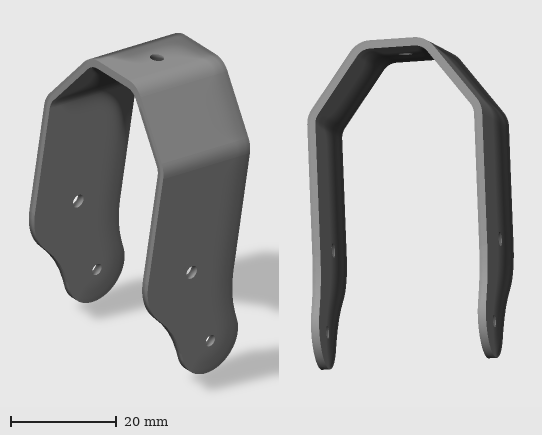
import cadquery as cq
import math


THICKNESS = 1.5875
INNER_BEND_RADIUS = 3.175
OUTER_BEND_RADIUS = INNER_BEND_RADIUS + THICKNESS

OUTER_WIDTH = 34.06
CROWN_WIDTH = 13.35
SHOULDER_DROP = 13.7
STRAP_WIDTH = 22.225
CROWN_HEIGHT = 38.1

STRAP_TILT = 9.5
NECK_TILT = 15.0
HOLE_SPACING = 18.23
LUG_RADIUS = 7.0
NECK_FILLET_RADIUS = 23.0

LUG_HOLE_DIAMETER = 2.38
PIVOT_HOLE_DIAMETER = 2.71
CROWN_HOLE_DIAMETER = 2.71

neck_angle = math.radians(NECK_TILT)
strap_angle = math.radians(STRAP_TILT)
neck_plane = cq.Plane(
    origin=(0, 0, 0),
    xDir=(0, math.cos(neck_angle), math.sin(neck_angle)),
    normal=(1, 0, 0),
)
strap_plane = cq.Plane(
    origin=neck_plane.toWorldCoords((0, HOLE_SPACING)).toTuple(),
    xDir=(1, 0, 0),
    normal=(0, -math.cos(strap_angle), math.sin(strap_angle)),
)
REACH = 2 * (CROWN_HEIGHT + HOLE_SPACING)


def point_on_circle(center, radius, angle):
    """Point at an angle in radians, measured from local x."""
    return (center[0] + radius * math.cos(angle), center[1] + radius * math.sin(angle))


def folded_strip():
    """Strip folded along four bends, with legs and width left oversize."""
    half_width = OUTER_WIDTH / 2
    half_crown = CROWN_WIDTH / 2
    shoulder_height = CROWN_HEIGHT - SHOULDER_DROP
    flank_angle = math.atan2(SHOULDER_DROP, half_width - half_crown)
    crown_setback = math.tan(flank_angle / 2)
    shoulder_setback = math.tan((math.pi / 2 - flank_angle) / 2)

    crown_bend = (
        half_crown - OUTER_BEND_RADIUS * crown_setback,
        CROWN_HEIGHT - OUTER_BEND_RADIUS,
    )
    shoulder_bend = (
        half_width - OUTER_BEND_RADIUS,
        shoulder_height - OUTER_BEND_RADIUS * shoulder_setback,
    )

    def envelope(offset, radius):
        """Solid under the strip face that lies `offset` inside the outer face."""

        def mirrored(point):
            return (-point[0], point[1])

        side = half_width - offset
        crown_start = point_on_circle(crown_bend, radius, math.pi / 2)
        crown_middle = point_on_circle(crown_bend, radius, (math.pi - flank_angle) / 2)
        crown_end = point_on_circle(crown_bend, radius, math.pi / 2 - flank_angle)
        shoulder_start = point_on_circle(shoulder_bend, radius, math.pi / 2 - flank_angle)
        shoulder_middle = point_on_circle(shoulder_bend, radius, (math.pi / 2 - flank_angle) / 2)
        shoulder_end = point_on_circle(shoulder_bend, radius, 0)
        return (
            cq.Workplane(strap_plane)
            .moveTo(-side, -REACH)
            .lineTo(*mirrored(shoulder_end))
            .threePointArc(mirrored(shoulder_middle), mirrored(shoulder_start))
            .lineTo(*mirrored(crown_end))
            .threePointArc(mirrored(crown_middle), mirrored(crown_start))
            .lineTo(*crown_start)
            .threePointArc(crown_middle, crown_end)
            .lineTo(*shoulder_start)
            .threePointArc(shoulder_middle, shoulder_end)
            .lineTo(side, -REACH)
            .close()
            .extrude(REACH, both=True)
        )

    return envelope(0, OUTER_BEND_RADIUS).cut(envelope(THICKNESS, INNER_BEND_RADIUS))


def side_silhouette():
    """Side outline of strap, neck and lug, extruded across both legs."""
    half_strap = STRAP_WIDTH / 2
    lean = neck_angle + strap_angle
    pivot = (0, HOLE_SPACING)
    fillet_x = LUG_RADIUS + NECK_FILLET_RADIUS

    back_fillet_y = HOLE_SPACING + (
        fillet_x * math.cos(lean) - half_strap - NECK_FILLET_RADIUS
    ) / math.sin(lean)
    back_fillet = (fillet_x, back_fillet_y)

    front_fillet_y = HOLE_SPACING - math.sqrt(
        (half_strap + NECK_FILLET_RADIUS) ** 2 - fillet_x ** 2
    )
    front_fillet = (-fillet_x, front_fillet_y)
    contact = math.atan2(HOLE_SPACING - front_fillet_y, fillet_x)

    def along_strap(point):
        """The point moved along the strap to beyond the crown."""
        return (point[0] + REACH * math.sin(lean), point[1] + REACH * math.cos(lean))

    back_edge = point_on_circle(back_fillet, NECK_FILLET_RADIUS, math.pi - lean)
    front_edge = point_on_circle(pivot, half_strap, math.pi - lean)
    return (
        cq.Workplane(neck_plane)
        .moveTo(*along_strap(front_edge))
        .lineTo(*front_edge)
        .threePointArc(
            point_on_circle(pivot, half_strap, math.pi + (contact - lean) / 2),
            point_on_circle(pivot, half_strap, math.pi + contact),
        )
        .threePointArc(
            point_on_circle(front_fillet, NECK_FILLET_RADIUS, contact / 2),
            (-LUG_RADIUS, front_fillet_y),
        )
        .lineTo(-LUG_RADIUS, 0)
        .threePointArc((0, -LUG_RADIUS), (LUG_RADIUS, 0))
        .lineTo(LUG_RADIUS, back_fillet_y)
        .threePointArc(
            point_on_circle(back_fillet, NECK_FILLET_RADIUS, math.pi - lean / 2),
            back_edge,
        )
        .lineTo(*along_strap(back_edge))
        .close()
        .extrude(OUTER_WIDTH, both=True)
    )


def leg_hole(diameter, distance):
    """Pin through both legs, at a distance from the lug centre along the hole line."""
    return (
        cq.Workplane(neck_plane)
        .center(0, distance)
        .circle(diameter / 2)
        .extrude(OUTER_WIDTH, both=True)
    )


def crown_hole():
    """Pin through the middle of the crown, square to it."""
    crown_plane = cq.Plane(
        origin=strap_plane.toWorldCoords((0, CROWN_HEIGHT)).toTuple(),
        xDir=(1, 0, 0),
        normal=strap_plane.yDir.toTuple(),
    )
    return (
        cq.Workplane(crown_plane)
        .circle(CROWN_HOLE_DIAMETER / 2)
        .extrude(2 * THICKNESS, both=True)
    )


bracket = folded_strip().intersect(side_silhouette())
bracket = bracket.cut(leg_hole(LUG_HOLE_DIAMETER, 0))
bracket = bracket.cut(leg_hole(PIVOT_HOLE_DIAMETER, HOLE_SPACING))
result = bracket.cut(crown_hole())